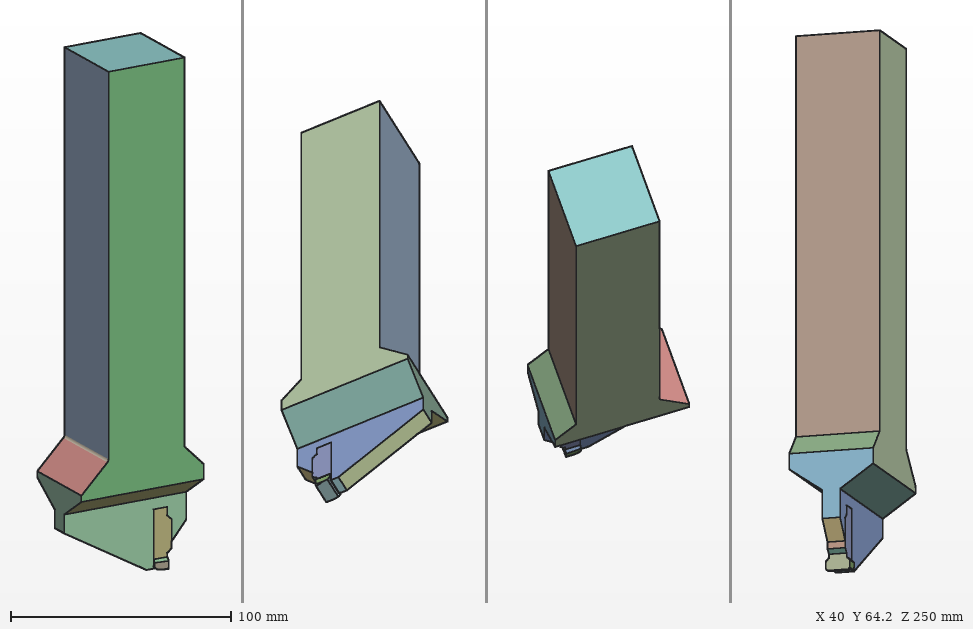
import cadquery as cq

length = 250.0
shank_width = 40.0
half_shank = shank_width / 2

back_overhang = 10.0
front_overhang = 14.2
head_top = 63.2
neck_fillet = 2.0
head_back = half_shank + back_overhang
head_front = -half_shank - front_overhang

blade_width = 8.5
blade_bottom = 1.2
blade_toe_y = 9.0
blade_front_corner = 26.2
blade_back_corner = 22.0
taper_top = 46.0
taper_bottom = 35.2

insert_back = half_shank
insert_front = 12.8
insert_top = 29.8
bulge = 2.2
bulge_top = 25.5
bulge_bottom = 7.5
bulge_ramp = 2.0
tip_width = 11.5
tip_side_relief = 0.2
tip_corner_chamfer = 0.8
tip_front_drop = 1.0
tip_nose_height = 2.2
tip_nose_length = 1.2
shoulder_bottom = 4.2
shoulder_top = 5.8


def make_side_profile():
    """Holder seen along X, extruded across the full shank width."""
    points = [
        (-half_shank, length),
        (half_shank, length),
        (half_shank, head_top),
        (head_back, head_top - back_overhang),
        (head_back, blade_back_corner),
        (insert_front, blade_bottom),
        (blade_toe_y, blade_bottom),
        (head_front, blade_front_corner),
        (head_front, head_top - front_overhang),
        (-half_shank, head_top),
    ]
    profile = cq.Workplane("YZ").polyline(points).close().extrude(half_shank, both=True)
    neck = cq.selectors.NearestToPointSelector((0, -half_shank, head_top))
    return profile.edges("|X").edges(neck).fillet(neck_fillet)


def make_front_profile():
    """Holder seen along Y: full width that tapers down to the thin blade."""
    half_blade = blade_width / 2
    points = [
        (-half_shank, length),
        (half_shank, length),
        (half_shank, taper_top),
        (half_blade, taper_bottom),
        (half_blade, 0),
        (-half_blade, 0),
        (-half_blade, taper_bottom),
        (-half_shank, taper_top),
    ]
    reach = head_back - head_front
    return cq.Workplane("XZ").polyline(points).close().extrude(reach, both=True)


def make_insert_body():
    """Insert as thick as the blade, with a bulge along its back edge."""
    bulge_back = insert_back + bulge
    points = [
        (insert_front, insert_top),
        (insert_back, insert_top),
        (insert_back, bulge_top),
        (bulge_back, bulge_top - bulge_ramp),
        (bulge_back, bulge_bottom + bulge_ramp),
        (insert_back, bulge_bottom),
        (insert_back, 0),
        (insert_front + tip_nose_length, tip_front_drop),
        (insert_front, tip_nose_height),
    ]
    return cq.Workplane("YZ").polyline(points).close().extrude(tip_width / 2, both=True)


def make_blade_slab():
    """Slab as thick as the blade, which sets the thickness of the insert above its tip."""
    return cq.Workplane("XY").box(blade_width, 2 * head_back, insert_top, centered=(True, True, False))


def make_tip_wedge():
    """Wider cutting tip whose flanks close in toward the front and whose shoulders slope."""
    half_back = tip_width / 2
    half_front = half_back - tip_side_relief
    half_blade = blade_width / 2
    plan = [
        (-half_back, insert_back),
        (half_back, insert_back),
        (half_front, insert_front),
        (-half_front, insert_front),
    ]
    wedge = cq.Workplane("XY").polyline(plan).close().extrude(shoulder_top)
    front_outline = [
        (-half_blade, shoulder_top),
        (half_blade, shoulder_top),
        (half_back, shoulder_bottom),
        (half_back, tip_corner_chamfer),
        (half_back - tip_corner_chamfer, 0),
        (-half_back + tip_corner_chamfer, 0),
        (-half_back, tip_corner_chamfer),
        (-half_back, shoulder_bottom),
    ]
    shoulders = cq.Workplane("XZ").polyline(front_outline).close().extrude(head_back, both=True)
    return wedge.intersect(shoulders)


insert = make_insert_body().intersect(make_blade_slab().union(make_tip_wedge()))
holder = make_side_profile().intersect(make_front_profile()).cut(insert)

result = cq.Compound.makeCompound([holder.val(), insert.val()])